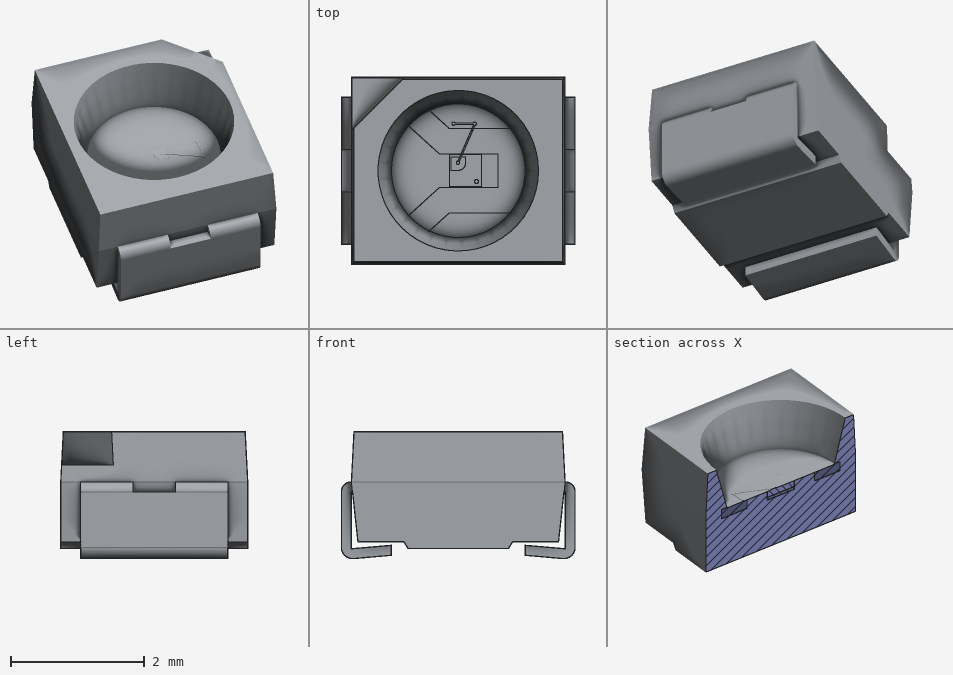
import cadquery as cq
import math

overall_length = 3.5
body_width = 2.8
overall_height = 1.9

lead_thickness = 0.15
body_length = overall_length - 2 * lead_thickness
body_top_length = 3.122
body_top_width = 2.723
body_bottom_length = 3.003
parting_z = 1.15
shoulder_z = 0.252
foot_z = 0.15
foot_length = 1.5
foot_chamfer = 0.063

corner_cut_leg = 0.8
corner_cut_z = 1.4

cup_top_diameter = 2.4
cup_floor_diameter = 2.0

lead_width = 2.2
lead_bottom_inset = 0.75
lead_foot_angle = 5.0
lead_lower_bend_radius = 0.17
lead_underside_z = parting_z - lead_thickness
notch_width = 0.63
notch_inner_x = 1.5

root_x = 1.218
die_tongue_width = 0.5
die_tongue_tip_x = 0.595
die_tongue_neck_x = -0.28
fork_gap_width = 1.267
fork_tip_x = -0.135
flare_slope = (lead_width - die_tongue_width) / 2 / (root_x + die_tongue_neck_x)

chip_size = 0.48
chip_center_x = 0.11
chip_depth = 0.1
electrode_length = 0.217
electrode_width = 0.203
electrode_radius = 0.112
electrode_inset_x = 0.025
electrode_inset_y = 0.03
film_height = 0.005
mark_diameter = 0.06
mark_center = (0.273, -0.16)
wire_width = 0.02
wire_height = 0.01
bond_diameter = 0.05
wire_points = [(-0.005, 0.12), (0.25, 0.705), (-0.07, 0.705)]


def mirrored_outline(upper_points):
    """Closed XY outline that is symmetric about the X axis."""
    lower_points = [(x, -y) for x, y in reversed(upper_points)]
    return cq.Workplane("XY").workplane(offset=lead_underside_z).polyline(upper_points + lower_points).close()


def make_lead_plate(upper_points):
    return mirrored_outline(upper_points).extrude(lead_thickness)


def make_lead_leg():
    """Leg of the -X lead: down along the housing and back under it."""
    outer_x = -overall_length / 2
    inner_x = outer_x + lead_thickness
    tip_x = outer_x + lead_bottom_inset
    angle = math.radians(lead_foot_angle)
    slope = math.tan(angle)
    inner_tip_z = lead_thickness + (tip_x - inner_x) * slope

    diagonal = math.sin(math.radians(45))
    upper_bend_middle = (
        inner_x - lead_thickness * diagonal,
        lead_underside_z + lead_thickness * diagonal,
    )
    lower_radius = lead_lower_bend_radius
    lower_center_x = outer_x + lower_radius
    lower_bend_middle = (lower_center_x - lower_radius * diagonal, lower_radius * (1 - diagonal))
    lower_bend_end_x = lower_center_x + lower_radius * math.sin(angle)
    lower_bend_end_z = lower_radius * (1 - math.cos(angle))
    outer_tip_z = lower_bend_end_z + (tip_x - lower_bend_end_x) * slope

    return (
        cq.Workplane("XZ", origin=(0, lead_width / 2, 0))
        .moveTo(inner_x, parting_z)
        .threePointArc(upper_bend_middle, (outer_x, lead_underside_z))
        .lineTo(outer_x, lower_radius)
        .threePointArc(lower_bend_middle, (lower_bend_end_x, lower_bend_end_z))
        .lineTo(tip_x, outer_tip_z)
        .lineTo(tip_x, inner_tip_z)
        .lineTo(inner_x, lead_thickness)
        .lineTo(inner_x, parting_z)
        .close()
        .extrude(lead_width)
    )


def make_bend_notch():
    """Gap that splits the upper bend of the -X lead into two straps."""
    notch_length = overall_length / 2 - notch_inner_x
    return (
        cq.Workplane("XY", origin=(-overall_length / 2, 0, lead_underside_z))
        .rect(2 * notch_length, notch_width)
        .extrude(lead_thickness)
    )


def make_die_lead():
    """-X lead, whose flat end narrows to the tongue that carries the chip."""
    plate = make_lead_plate([
        (-body_length / 2, lead_width / 2),
        (-root_x, lead_width / 2),
        (die_tongue_neck_x, die_tongue_width / 2),
        (die_tongue_tip_x, die_tongue_width / 2),
    ])
    return make_lead_leg().union(plate).cut(make_bend_notch())


def make_fork_lead():
    """+X lead, whose flat end is a fork that reaches around the tongue."""
    tine_width = (lead_width - fork_gap_width) / 2
    plate = make_lead_plate([
        (root_x, fork_gap_width / 2),
        (fork_tip_x, fork_gap_width / 2),
        (fork_tip_x - tine_width / flare_slope, lead_width / 2),
        (body_length / 2, lead_width / 2),
    ])
    leg = make_lead_leg().mirror("YZ")
    return leg.union(plate).cut(make_bend_notch().mirror("YZ"))


def make_chip():
    return (
        cq.Workplane("XY", origin=(chip_center_x, 0, parting_z - chip_depth))
        .rect(chip_size, chip_size)
        .extrude(chip_depth)
    )


def make_electrode():
    """Thin film in one corner of the chip, rounded toward the chip's middle."""
    left = chip_center_x - chip_size / 2 + electrode_inset_x
    top = chip_size / 2 - electrode_inset_y
    return (
        cq.Workplane("XY", origin=(left, top, parting_z))
        .rect(electrode_length, -electrode_width, centered=False)
        .extrude(film_height)
        .edges("|Z and >X and <Y")
        .fillet(electrode_radius)
    )


def make_mark():
    return (
        cq.Workplane("XY", origin=(*mark_center, parting_z))
        .circle(mark_diameter / 2)
        .extrude(film_height)
    )


def make_wire_span(start, end):
    run_x = end[0] - start[0]
    run_y = end[1] - start[1]
    return (
        cq.Workplane("XY")
        .rect(math.hypot(run_x, run_y), wire_width)
        .extrude(wire_height)
        .rotate((0, 0, 0), (0, 0, 1), math.degrees(math.atan2(run_y, run_x)))
        .translate(((start[0] + end[0]) / 2, (start[1] + end[1]) / 2, parting_z))
    )


def make_wire():
    """Bond wire lying on the cup floor, with a round bond at each point."""
    wire = (
        cq.Workplane("XY", origin=(0, 0, parting_z))
        .pushPoints(wire_points)
        .circle(bond_diameter / 2)
        .extrude(wire_height)
    )
    for start, end in zip(wire_points, wire_points[1:]):
        wire = wire.union(make_wire_span(start, end))
    return wire


def make_die():
    return make_chip().union(make_electrode()).union(make_mark()).union(make_wire())


def make_lower_housing():
    """Lower half: ends lean inward to the shoulder, with a chamfered foot below."""
    right_side = [
        (body_length / 2, parting_z),
        (body_bottom_length / 2, shoulder_z),
        (foot_length / 2 + foot_chamfer, shoulder_z),
        (foot_length / 2, foot_z),
    ]
    left_side = [(-x, z) for x, z in reversed(right_side)]
    return (
        cq.Workplane("XZ", origin=(0, body_width / 2, 0))
        .polyline(right_side + left_side)
        .close()
        .extrude(body_width)
    )


def make_upper_housing():
    """Upper half: all four sides lean inward to the top face."""
    return (
        cq.Workplane("XY", origin=(0, 0, parting_z))
        .rect(body_length, body_width)
        .workplane(offset=overall_height - parting_z)
        .rect(body_top_length, body_top_width)
        .loft(ruled=True)
    )


def make_corner_cut():
    corner_x = -body_length / 2
    corner_y = body_width / 2
    return (
        cq.Workplane("XY", origin=(0, 0, corner_cut_z))
        .moveTo(corner_x, corner_y)
        .lineTo(corner_x + corner_cut_leg, corner_y)
        .lineTo(corner_x, corner_y - corner_cut_leg)
        .close()
        .extrude(overall_height - corner_cut_z)
    )


def make_cup():
    return (
        cq.Workplane("XY", origin=(0, 0, parting_z))
        .circle(cup_floor_diameter / 2)
        .workplane(offset=overall_height - parting_z)
        .circle(cup_top_diameter / 2)
        .loft()
    )


def make_housing():
    solid = make_lower_housing().union(make_upper_housing())
    return solid.cut(make_corner_cut()).cut(make_cup())


die = make_die()
fork_lead = make_fork_lead()
die_lead = make_die_lead().cut(die)
housing = make_housing().cut(die_lead).cut(fork_lead).cut(die)

result = cq.Compound.makeCompound([housing.val(), die_lead.val(), fork_lead.val(), die.val()])